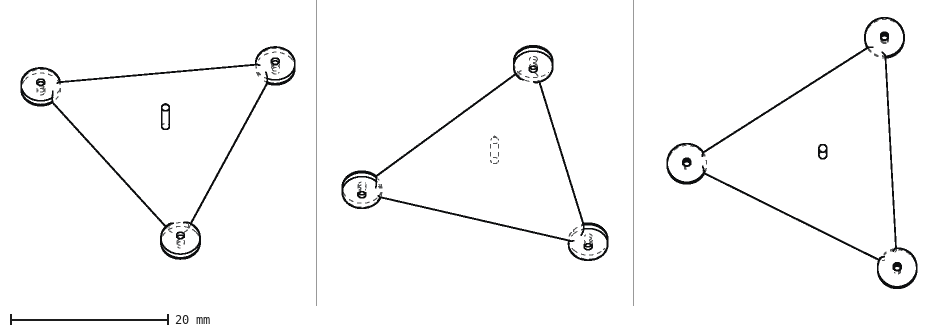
import cadquery as cq
import math

side_length = 30.0
plate_thickness = 2.0
edge_radius = 0.5

end_radius = 2.5
end_hole_diameter = 1.0
slot_height = 0.8

pin_diameter = 1.0
pin_length = 4.0

pin_radius = pin_diameter / 2
point_height = pin_diameter * math.sqrt(3) / 2
corner_distance = side_length / math.sqrt(3)
corner_angles = (90, 210, 330)
corners = [
    (
        corner_distance * math.cos(math.radians(angle)),
        corner_distance * math.sin(math.radians(angle)),
    )
    for angle in corner_angles
]


def corner_cylinders(radius, height, base_z):
    """Upright cylinders centred on the three corners."""
    return cq.Workplane("XY", origin=(0, 0, base_z)).pushPoints(corners).circle(radius).extrude(height)


def make_plate():
    """Triangle with a disc on each corner, rounded along its top and bottom edges."""
    triangle = cq.Workplane("XY").polyline(corners).close().extrude(plate_thickness)
    plate = triangle.union(corner_cylinders(end_radius, plate_thickness, 0))
    return plate.faces("<Z or >Z").edges().fillet(edge_radius)


def make_pin():
    """Round pin with a conical point, standing on the top face."""
    pin_top = pin_length + point_height
    return (
        cq.Workplane("XZ", origin=(0, 0, plate_thickness))
        .polyline([(0, 0), (pin_radius, 0), (pin_radius, pin_length), (0, pin_top)])
        .close()
        .revolve(360, (0, 0), (0, 1))
    )


slot_base_z = (plate_thickness - slot_height) / 2
slots = corner_cylinders(end_radius, slot_height, slot_base_z)
end_holes = corner_cylinders(end_hole_diameter / 2, plate_thickness, 0)

result = make_plate().cut(slots).cut(end_holes).union(make_pin())